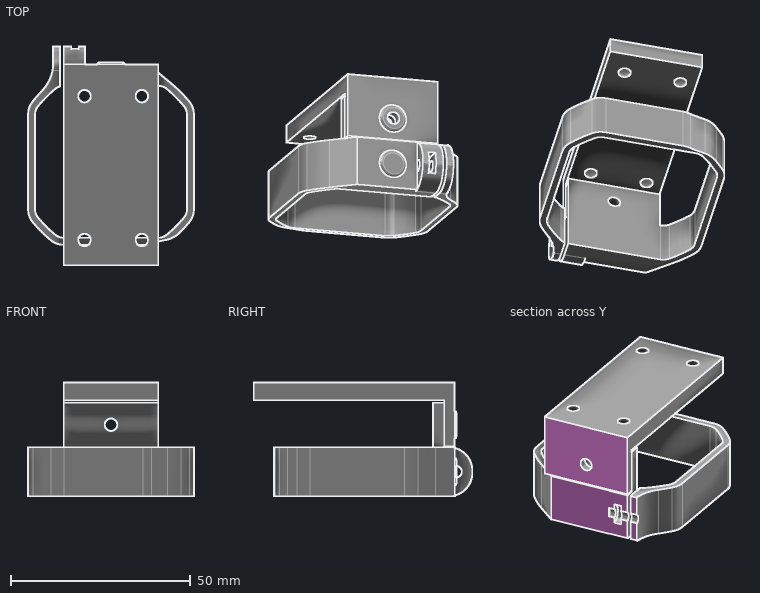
import cadquery as cq
import math


total_height = 31.7
plate_width = 26.35
plate_length = 56.0
plate_thickness = 5.0
leg_thickness = 2.9
leg_clearance = 0.1
plate_hole_diameter = 3.4
plate_hole_spacing_x = 16.0
plate_hole_spacing_y = 40.1
plate_hole_center_x = 0.6
plate_hole_rear_y = -8.85

screw_hole_diameter = 3.4
screw_z = 19.95
boss_diameter = 8.0
boss_height = 0.6
boss_edge_radius = 1.0

band_height = 13.7
band_half_size = 23.15
band_wall = 2.0
band_center_y = -27.15
flat_half_length = plate_width / 2
corner_radius = 5.75
corner_turn = math.radians(39.7)
diagonal_half_turn = math.radians(45) - corner_turn

tail_bend = (15.7, -21.7)
tail_bend_radius = 7.5
tail_hollow_end = (11.15, -22.8)
tail_hollow_radius = 37.8
tail_tip_x = 8.9
tail_tip_radius = 6.6

lug_gap = 1.0
outer_lug_thickness = 2.0
inner_lug_thickness = 6.0
lug_reach = 5.0
lug_corner_radius = 6.6
lug_sweep_start = (-19.2, 19.8)
lug_sweep_radius = 10.75
lug_hole_diameter = 3.2
lug_hole_y = 0.4
nut_slot_inset = 2.15
nut_slot_width = 2.0
nut_slot_height = 6.0
tab_top_z = 26.1

plate_bottom_z = total_height - plate_thickness
leg_bottom_z = band_height + leg_clearance
band_mid_z = band_height / 2
inner_half_size = band_half_size - band_wall
inner_radius = corner_radius - band_wall
block_rear = -band_center_y
tab_front_y = band_center_y + inner_half_size
inner_lug_left = -plate_width / 2
inner_lug_right = inner_lug_left + inner_lug_thickness
outer_lug_right = inner_lug_left - lug_gap
outer_lug_left = outer_lug_right - outer_lug_thickness


def box(x_range, y_range, z_range):
    """Box between the given limits along each axis."""
    return (
        cq.Workplane("XY")
        .box(x_range[1] - x_range[0], y_range[1] - y_range[0], z_range[1] - z_range[0], centered=False)
        .translate((x_range[0], y_range[0], z_range[0]))
    )


def cylinder_along_y(diameter, z, y_from, y_to):
    """Cylinder on X = 0 running along Y."""
    return (
        cq.Workplane("XZ", origin=(0, y_to, z)).circle(diameter / 2).extrude(y_to - y_from)
    )


def cylinder_along_x(diameter, y, z, x_from, x_to):
    """Cylinder running along X."""
    return (
        cq.Workplane("YZ", origin=(x_from, y, z)).circle(diameter / 2).extrude(x_to - x_from)
    )


def rear_boss(z):
    """Low round-edged boss standing out behind Y = 0, with its root sunk into the wall."""
    root_y = boss_height - 2 * boss_edge_radius
    return cylinder_along_y(boss_diameter, z, root_y, boss_height).faces(">Y").edges().fillet(boss_edge_radius)


def corner_end(half_size, radius):
    """Distances from the band's center, large then small, at which a corner arc meets the diagonal side."""
    large = half_size - radius + radius * math.cos(corner_turn)
    small = flat_half_length + radius * math.sin(corner_turn)
    return large, small


def diagonal_radius(large, small):
    """Radius of a bulging diagonal side between (large, small) and (small, large)."""
    return (large - small) / math.sqrt(2) / math.sin(diagonal_half_turn)


def make_bracket():
    half_width = plate_width / 2
    plate = box((-half_width, half_width), (-plate_length, 0), (plate_bottom_z, total_height))
    leg = box((-half_width, half_width), (-leg_thickness, 0), (leg_bottom_z, total_height))
    plate_holes = (
        cq.Workplane("XY", origin=(plate_hole_center_x, plate_hole_rear_y - plate_hole_spacing_y / 2, plate_bottom_z))
        .rarray(plate_hole_spacing_x, plate_hole_spacing_y, 2, 2)
        .circle(plate_hole_diameter / 2)
        .extrude(plate_thickness)
    )
    screw_hole = cylinder_along_y(screw_hole_diameter, screw_z, -leg_thickness, boss_height)
    return plate.union(leg).union(rear_boss(screw_z)).cut(plate_holes).cut(screw_hole)


def band_opening():
    """Solid that fills the inside of the band."""
    half, flat = inner_half_size, flat_half_length
    large, small = corner_end(half, inner_radius)
    bulge = diagonal_radius(large, small)
    outline = cq.Workplane("XY", origin=(0, band_center_y, 0)).moveTo(half, -flat)
    for cos, sin in [(1, 0), (0, 1), (-1, 0), (0, -1)]:
        def turned(x, y):
            return x * cos - y * sin, x * sin + y * cos
        outline = (
            outline.lineTo(*turned(half, flat))
            .radiusArc(turned(large, small), -inner_radius)
            .radiusArc(turned(small, large), -bulge)
            .radiusArc(turned(flat, half), -inner_radius)
        )
    return outline.close().extrude(band_height)


def band_body():
    """Band filled in, with its thick back and the outer lug's root, up to the rear of the lugs."""
    half, flat = band_half_size, flat_half_length
    large, small = corner_end(half, corner_radius)
    bulge = diagonal_radius(large, small)
    middle = (large + small) / 2 + bulge * (1 - math.cos(diagonal_half_turn)) / math.sqrt(2)
    block_right = small - (block_rear - large) / math.tan(corner_turn)
    arc_center_x = outer_lug_left - lug_sweep_radius
    lug_root = lug_sweep_start[1] + math.sqrt(lug_sweep_radius**2 - (lug_sweep_start[0] - arc_center_x) ** 2)
    lug_rear = block_rear + lug_reach
    return (
        cq.Workplane("XY", origin=(0, band_center_y, 0))
        .moveTo(tail_tip_x, -half)
        .radiusArc(tail_hollow_end, -tail_tip_radius)
        .radiusArc(tail_bend, tail_hollow_radius)
        .radiusArc((middle, -middle), -tail_bend_radius)
        .radiusArc((large, -small), -bulge)
        .radiusArc((half, -flat), -corner_radius)
        .lineTo(half, flat)
        .radiusArc((large, small), -corner_radius)
        .radiusArc((small, large), -bulge)
        .lineTo(block_right, block_rear)
        .lineTo(inner_lug_right, block_rear)
        .lineTo(inner_lug_right, lug_rear)
        .lineTo(outer_lug_left, lug_rear)
        .lineTo(outer_lug_left, lug_root)
        .radiusArc(lug_sweep_start, lug_sweep_radius)
        .radiusArc((-large, small), -bulge)
        .radiusArc((-half, flat), -corner_radius)
        .lineTo(-half, -flat)
        .radiusArc((-large, -small), -corner_radius)
        .radiusArc((-small, -large), -bulge)
        .radiusArc((-flat, -half), -corner_radius)
        .close()
        .extrude(band_height)
    )


def lug_rounding():
    """The two outer corners of the lugs that their rounded rear end leaves out."""
    surround = box((outer_lug_left, inner_lug_right), (-lug_corner_radius, lug_reach), (0, band_height))
    return surround.cut(surround.edges("|X and >Y").fillet(lug_corner_radius))


def nut_slot():
    """Slot in the inner lug, open to the rear, with a round end about the lug hole."""
    x_range = (inner_lug_left + nut_slot_inset, inner_lug_left + nut_slot_inset + nut_slot_width)
    z_range = (band_mid_z - nut_slot_height / 2, band_mid_z + nut_slot_height / 2)
    round_end = cylinder_along_x(nut_slot_height, lug_hole_y, band_mid_z, *x_range)
    return box(x_range, (lug_hole_y, lug_reach), z_range).union(round_end)


def make_band():
    half_width = plate_width / 2
    gap = box((outer_lug_right, inner_lug_left), (tab_front_y - band_wall, lug_reach), (0, band_height))
    lug_hole = cylinder_along_x(lug_hole_diameter, lug_hole_y, band_mid_z, outer_lug_left - band_wall, inner_lug_right)
    tab = box((-half_width, half_width), (tab_front_y, -leg_thickness), (0, tab_top_z))
    screw_hole = cylinder_along_y(screw_hole_diameter, screw_z, tab_front_y, -leg_thickness)
    band = band_body().cut(lug_rounding()).cut(band_opening())
    band = band.union(tab.cut(screw_hole)).union(rear_boss(band_mid_z))
    return band.cut(gap).cut(lug_hole).cut(nut_slot())


bracket = make_bracket()
band = make_band()
result = cq.Compound.makeCompound([bracket.val(), band.val()])